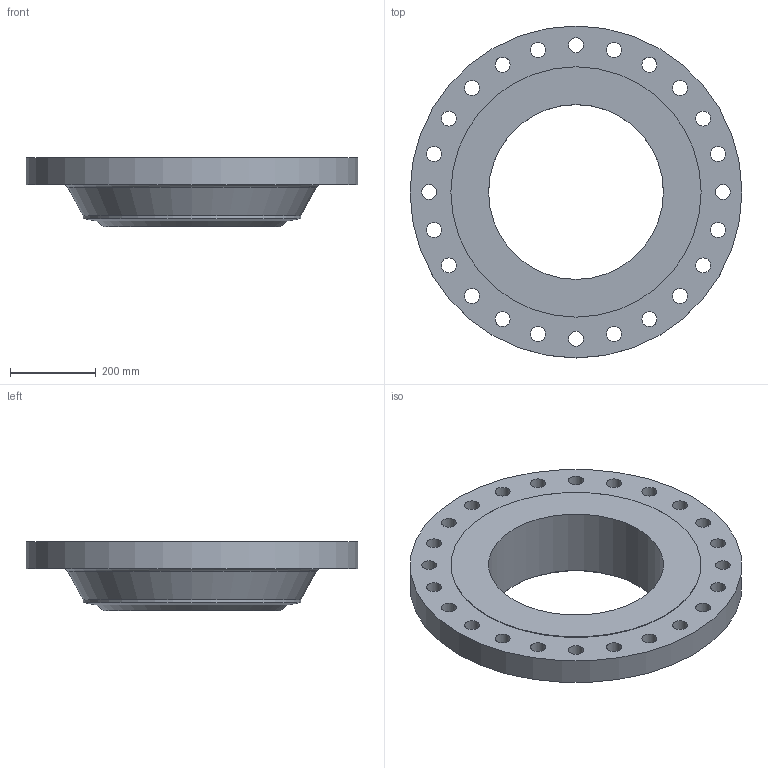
import cadquery as cq
import math


FLANGE_DIAMETER = 774.7
FLANGE_THICKNESS = 63.5
RAISED_FACE_DIAMETER = 584.2
RAISED_FACE_HEIGHT = 1.6

BOLT_COUNT = 24
BOLT_CIRCLE_DIAMETER = 685.8
BOLT_HOLE_DIAMETER = 35.0

OVERALL_HEIGHT = 161.93
BORE_DIAMETER = 408.0
HUB_BASE_DIAMETER = 587.2
HUB_END_DIAMETER = 508.0
HUB_END_BAND_HEIGHT = 6.35
HUB_FILLET_RADIUS = 12.7

ROOT_FACE_WIDTH = 1.6
STEEP_BEVEL_REACH = 19.0
STEEP_BEVEL_ANGLE = math.radians(37.5)
SHALLOW_BEVEL_ANGLE = math.radians(10)


def make_body():
    """Revolve the half section, without holes, around the Z axis."""
    flange_radius = FLANGE_DIAMETER / 2
    raised_face_radius = RAISED_FACE_DIAMETER / 2
    bore_radius = BORE_DIAMETER / 2
    hub_base_radius = HUB_BASE_DIAMETER / 2
    hub_end_radius = HUB_END_DIAMETER / 2
    root_face_radius = bore_radius + ROOT_FACE_WIDTH
    bevel_break_radius = bore_radius + STEEP_BEVEL_REACH

    weld_end_z = -OVERALL_HEIGHT
    bevel_break_z = weld_end_z + (bevel_break_radius - root_face_radius) * math.tan(STEEP_BEVEL_ANGLE)
    band_bottom_z = bevel_break_z + (hub_end_radius - bevel_break_radius) * math.tan(SHALLOW_BEVEL_ANGLE)
    band_top_z = band_bottom_z + HUB_END_BAND_HEIGHT
    flange_back_z = -FLANGE_THICKNESS

    cone_angle = math.atan2(flange_back_z - band_top_z, hub_base_radius - hub_end_radius)
    fillet_tangent = HUB_FILLET_RADIUS * math.tan(cone_angle / 2)
    fillet_center_r = hub_base_radius + fillet_tangent
    fillet_center_z = flange_back_z - HUB_FILLET_RADIUS

    def fillet_point(turn):
        """Point on the fillet, turned from the flange back toward the cone; -X half plane."""
        return (
            -(fillet_center_r - HUB_FILLET_RADIUS * math.sin(turn)),
            fillet_center_z + HUB_FILLET_RADIUS * math.cos(turn),
        )

    profile = (
        cq.Workplane("XZ")
        .moveTo(-bore_radius, 0)
        .lineTo(-raised_face_radius, 0)
        .lineTo(-raised_face_radius, -RAISED_FACE_HEIGHT)
        .lineTo(-flange_radius, -RAISED_FACE_HEIGHT)
        .lineTo(-flange_radius, flange_back_z)
        .lineTo(*fillet_point(0))
        .threePointArc(fillet_point(cone_angle / 2), fillet_point(cone_angle))
        .lineTo(-hub_end_radius, band_top_z)
        .lineTo(-hub_end_radius, band_bottom_z)
        .lineTo(-bevel_break_radius, bevel_break_z)
        .lineTo(-root_face_radius, weld_end_z)
        .lineTo(-bore_radius, weld_end_z)
        .close()
    )
    return profile.revolve(360, (0, 0, 0), (0, 1, 0))


def make_bolt_holes():
    """Cylinders through the flange plate, evenly spaced with one on the +X axis."""
    return (
        cq.Workplane("XY")
        .polarArray(BOLT_CIRCLE_DIAMETER / 2, 0, 360, BOLT_COUNT)
        .circle(BOLT_HOLE_DIAMETER / 2)
        .extrude(-FLANGE_THICKNESS)
    )


result = make_body().cut(make_bolt_holes())